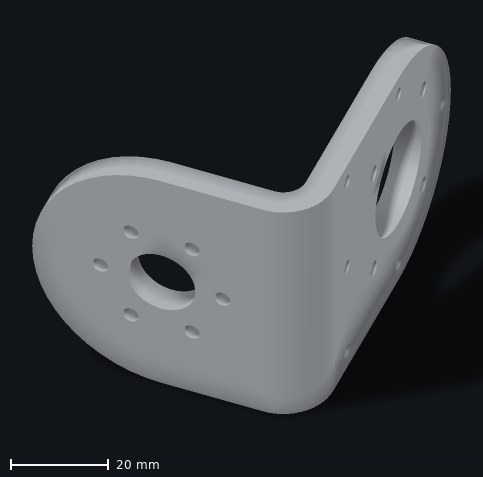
import cadquery as cq
import math

length_x = 62.0
length_y = 75.0
height = 57.0
thickness = 6.0
inner_bend_radius = 5.0
outer_bend_radius = inner_bend_radius + thickness
end_radius = height / 2

front_bore_diameter = 15.0
front_bolt_circle_diameter = 27.0
front_bolt_count = 6
bolt_hole_diameter = 3.5

side_bore_diameter = 25.0
side_bolt_circle_diameter = 38.0
side_bolt_count = 4
side_bolt_start_angle = 45.0
edge_hole_diameter = 3.0
edge_hole_offset = 24.0
edge_hole_row_distance = 28.0

front_center_x = end_radius
side_center_y = length_y - end_radius


def bolt_circle(diameter, count, start_angle):
    """Return evenly spaced points on a circle about the origin."""
    angles = [math.radians(start_angle + 360.0 * i / count) for i in range(count)]
    return [(diameter / 2 * math.cos(a), diameter / 2 * math.sin(a)) for a in angles]


def bent_strip():
    """L-shaped strip of constant thickness, with square ends."""
    strip = (
        cq.Workplane("XY")
        .moveTo(0, 0)
        .lineTo(length_x - outer_bend_radius, 0)
        .radiusArc((length_x, outer_bend_radius), -outer_bend_radius)
        .lineTo(length_x, length_y)
        .lineTo(length_x - thickness, length_y)
        .lineTo(length_x - thickness, outer_bend_radius)
        .radiusArc((length_x - outer_bend_radius, thickness), inner_bend_radius)
        .lineTo(0, thickness)
        .close()
        .extrude(height / 2, both=True)
    )
    return strip


def front_envelope(plane):
    """Front outline, rounded at the low-X end, swept through the full depth."""
    return (
        plane.moveTo(length_x, -end_radius)
        .lineTo(front_center_x, -end_radius)
        .threePointArc((0, 0), (front_center_x, end_radius))
        .lineTo(length_x, end_radius)
        .close()
        .extrude(-length_y)
    )


def side_envelope(plane):
    """Side outline, rounded at the high-Y end, swept through the full width."""
    return (
        plane.moveTo(0, -end_radius)
        .lineTo(side_center_y, -end_radius)
        .threePointArc((length_y, 0), (side_center_y, end_radius))
        .lineTo(0, end_radius)
        .close()
        .extrude(length_x)
    )


def front_holes(plane):
    """Centre bore and bolt circle through the front plate."""
    centered = plane.center(front_center_x, 0)
    bolts = bolt_circle(front_bolt_circle_diameter, front_bolt_count, 0)
    bore = centered.circle(front_bore_diameter / 2).extrude(-thickness)
    bolt_holes = centered.pushPoints(bolts).circle(bolt_hole_diameter / 2).extrude(-thickness)
    return bore.union(bolt_holes)


def side_holes(plane):
    """Centre bore, bolt circle and edge holes through the side plate."""
    centered = plane.workplane(offset=length_x - thickness).center(side_center_y, 0)
    bolts = bolt_circle(side_bolt_circle_diameter, side_bolt_count, side_bolt_start_angle)
    round_end_points = [(0, -edge_hole_offset), (edge_hole_offset, 0), (0, edge_hole_offset)]
    row_points = [(-edge_hole_row_distance, z) for z in (-edge_hole_offset, 0, edge_hole_offset)]
    edge_points = round_end_points + row_points
    bore = centered.circle(side_bore_diameter / 2).extrude(thickness)
    bolt_holes = centered.pushPoints(bolts).circle(bolt_hole_diameter / 2).extrude(thickness)
    edge_holes = centered.pushPoints(edge_points).circle(edge_hole_diameter / 2).extrude(thickness)
    return bore.union(bolt_holes).union(edge_holes)


front_plane = cq.Workplane("XZ")
side_plane = cq.Workplane("YZ")

result = (
    bent_strip()
    .intersect(front_envelope(front_plane))
    .intersect(side_envelope(side_plane))
    .cut(front_holes(front_plane))
    .cut(side_holes(side_plane))
)